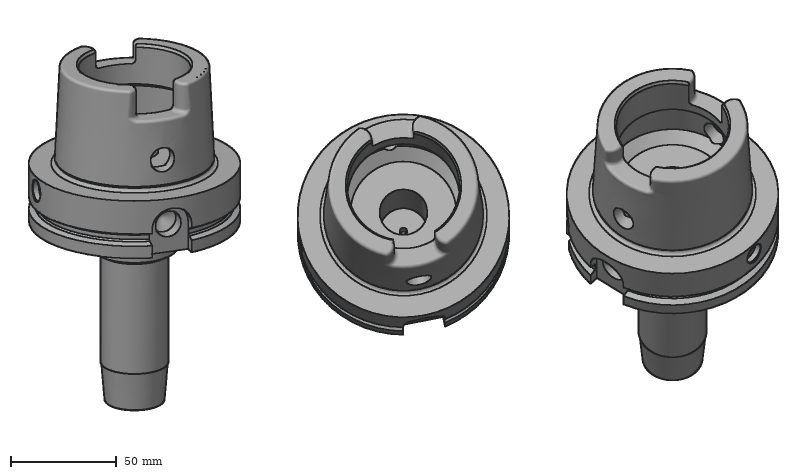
import cadquery as cq
import math

TOP_Z = 50.0
BOTTOM_Z = TOP_Z - 169.9

FLANGE_R = 50.0
FLANGE_BOTTOM_Z = -29.0
GROOVE_R = 46.0
GROOVE_Z = -19.9
GROOVE_MOUTH = 6.1
GROOVE_FLOOR = 2.2
GROOVE_ROOT = 0.8

TAPER_BASE_R = 37.7
TAPER_TOP_R = 35.5
UNDERCUT_R = 37.0
UNDERCUT_TOP_Z = 2.5
UNDERCUT_LOW_Z = 1.5
UNDERCUT_FACE_R = 39.5
RIM_FILLET = 1.5

NECK_R = 20.2
NECK_FILLET = 11.0
NECK_TANGENT_Z = -39.2
NECK_END_Z = -42.6
BODY_R = 16.1
BODY_TOP_Z = -45.0
NOSE_TOP_Z = -100.4
NOSE_STEP = 0.3
NOSE_R = 14.3
NOSE_CHAMFER = 0.5

BORE_R = 26.5
BORE_LIP_CHAMFER_R = 0.8
BORE_LIP_CHAMFER_H = 1.5
BORE_LIP_END_Z = 29.9
CLAMP_R = 31.5
CLAMP_SLOPE = math.radians(30)
BORE_FLOOR_R = 25.0
BORE_FLOOR_Z = 6.0
TUBE_R = 11.2
TUBE_BOTTOM_Z = -25.5
CENTER_HOLE_R = 1.7
CENTER_HOLE_DEPTH = 6.8

SLOT_HALF_WIDTH = 10.0
SLOT_FLARE_X = 32.5
SLOT_FLARE_R = 5.6
SLOT_DEPTH_LEFT = 9.9
SLOT_DEPTH_RIGHT = 15.0
SLOT_FLOOR_FILLET = 2.0
SLOT_RIM_FILLET = 1.5
FLANGE_SLOT_TOP_Z = -5.0
FLANGE_SLOT_X = 44.2
NOTCH_X = 31.8
NOTCH_Y = 41.5

WRENCH_HOLE_R = 6.0
WRENCH_HOLE_Z = 15.0
SLOT_HOLE_R = 6.5
SLOT_HOLE_DEPTH = 6.8
DRILL_HALF_ANGLE = math.radians(59)
CHIP_HOLE_R = 5.0
CHIP_HOLE_Z = -7.1
CHIP_HOLE_DEPTH = 3.4
CHIP_HOLE_CHAMFER = 0.5
CHIP_CENTER_R = 0.7
CHIP_CENTER_DEPTH = 0.7

FLANGE_SLOT_ARC_Z = FLANGE_SLOT_TOP_Z - SLOT_HALF_WIDTH
SLOT_MOUTH_Y = SLOT_HALF_WIDTH + SLOT_FLARE_R


def outer_body():
    """Revolved outside shape, from the nose up to the rounded shank rim."""
    mouth = GROOVE_MOUTH / 2
    floor = GROOVE_FLOOR / 2
    root_r = GROOVE_R + GROOVE_ROOT
    root = floor + GROOVE_ROOT
    arc_center_r = NECK_R + NECK_FILLET
    drop = FLANGE_BOTTOM_Z - NECK_TANGENT_Z
    neck_top_r = arc_center_r - math.sqrt(NECK_FILLET**2 - drop**2)
    half = math.asin(drop / NECK_FILLET) / 2
    arc_mid = (arc_center_r - NECK_FILLET * math.cos(half), NECK_TANGENT_Z + NECK_FILLET * math.sin(half))
    undercut_sag = UNDERCUT_LOW_Z * (1 - math.sqrt(0.5))
    rim_sag = RIM_FILLET * (1 - math.sqrt(0.5))
    profile = (
        cq.Workplane("XZ")
        .moveTo(0, BOTTOM_Z)
        .lineTo(NOSE_R - NOSE_CHAMFER, BOTTOM_Z)
        .lineTo(NOSE_R, BOTTOM_Z + NOSE_CHAMFER)
        .lineTo(BODY_R - NOSE_STEP, NOSE_TOP_Z - NOSE_STEP)
        .lineTo(BODY_R, NOSE_TOP_Z)
        .lineTo(BODY_R, BODY_TOP_Z)
        .lineTo(NECK_R, NECK_END_Z)
        .lineTo(NECK_R, NECK_TANGENT_Z)
        .threePointArc(arc_mid, (neck_top_r, FLANGE_BOTTOM_Z))
        .lineTo(FLANGE_R, FLANGE_BOTTOM_Z)
        .lineTo(FLANGE_R, GROOVE_Z - mouth)
        .lineTo(root_r, GROOVE_Z - root)
        .lineTo(GROOVE_R, GROOVE_Z - floor)
        .lineTo(GROOVE_R, GROOVE_Z + floor)
        .lineTo(root_r, GROOVE_Z + root)
        .lineTo(FLANGE_R, GROOVE_Z + mouth)
        .lineTo(FLANGE_R, 0)
        .lineTo(UNDERCUT_FACE_R, 0)
        .threePointArc(
            (UNDERCUT_R + undercut_sag, undercut_sag),
            (UNDERCUT_R, UNDERCUT_LOW_Z),
        )
        .lineTo(TAPER_BASE_R, UNDERCUT_TOP_Z)
        .lineTo(TAPER_TOP_R, TOP_Z - RIM_FILLET)
        .threePointArc(
            (TAPER_TOP_R - rim_sag, TOP_Z - rim_sag),
            (TAPER_TOP_R - RIM_FILLET, TOP_Z),
        )
        .lineTo(0, TOP_Z)
        .close()
    )
    return profile.revolve(360, (0, 0, 0), (0, 1, 0))


def bore():
    """Stepped hollow with the internal clamping groove, cut from the top."""
    slope_h = (CLAMP_R - BORE_R) * math.tan(CLAMP_SLOPE)
    floor_h = (CLAMP_R - BORE_FLOOR_R) * math.tan(CLAMP_SLOPE)
    center_end_z = TUBE_BOTTOM_Z - CENTER_HOLE_DEPTH
    points = [
        (0, TOP_Z),
        (BORE_R + BORE_LIP_CHAMFER_R, TOP_Z),
        (BORE_R, TOP_Z - BORE_LIP_CHAMFER_H),
        (BORE_R, BORE_LIP_END_Z),
        (CLAMP_R, BORE_LIP_END_Z - slope_h),
        (CLAMP_R, BORE_FLOOR_Z + floor_h),
        (BORE_FLOOR_R, BORE_FLOOR_Z),
        (TUBE_R, BORE_FLOOR_Z),
        (TUBE_R, TUBE_BOTTOM_Z),
        (CENTER_HOLE_R, TUBE_BOTTOM_Z),
        (CENTER_HOLE_R, center_end_z),
        (0, center_end_z),
    ]
    return cq.Workplane("XZ").polyline(points).close().revolve(360, (0, 0, 0), (0, 1, 0))


def rim_slot(depth):
    """Drive slot on the +X side of the rim, flared outwards by a quarter arc on each flank."""
    inner_x = 0
    outer_x = FLANGE_R
    side_y = FLANGE_R
    arc_x = SLOT_FLARE_X - SLOT_FLARE_R
    mid_x = arc_x + SLOT_FLARE_R * math.sqrt(0.5)
    mid_y = SLOT_MOUTH_Y - SLOT_FLARE_R * math.sqrt(0.5)
    slot = (
        cq.Workplane("XY", origin=(0, 0, TOP_Z - depth))
        .moveTo(inner_x, -SLOT_HALF_WIDTH)
        .lineTo(arc_x, -SLOT_HALF_WIDTH)
        .threePointArc((mid_x, -mid_y), (SLOT_FLARE_X, -SLOT_MOUTH_Y))
        .lineTo(SLOT_FLARE_X, -side_y)
        .lineTo(outer_x, -side_y)
        .lineTo(outer_x, side_y)
        .lineTo(SLOT_FLARE_X, side_y)
        .lineTo(SLOT_FLARE_X, SLOT_MOUTH_Y)
        .threePointArc((mid_x, mid_y), (arc_x, SLOT_HALF_WIDTH))
        .lineTo(inner_x, SLOT_HALF_WIDTH)
        .close()
        .extrude(depth)
    )
    flank = cq.selectors.BoxSelector((inner_x + 1.7, -side_y + 1.7, 0), (SLOT_FLARE_X + 1.7, side_y - 1.7, TOP_Z))
    return slot.faces("<Z").edges(flank).fillet(SLOT_FLOOR_FILLET)


def flange_slot(floor_x, center_y):
    """Round-topped slot on the +X side, open outwards and at the bottom of the flange."""
    arch = (
        cq.Workplane("YZ", origin=(floor_x, 0, 0))
        .center(center_y, FLANGE_SLOT_ARC_Z)
        .circle(SLOT_HALF_WIDTH)
        .extrude(FLANGE_R)
    )
    height = FLANGE_SLOT_ARC_Z - FLANGE_BOTTOM_Z
    leg = cq.Workplane("XY", origin=(floor_x, center_y, FLANGE_BOTTOM_Z)).box(
        FLANGE_R, 2 * SLOT_HALF_WIDTH, height, centered=(False, True, False)
    )
    return arch.union(leg)


def slot_hole():
    """Blind drilled hole with a conical end, going inwards from the +X flange slot floor."""
    tip = SLOT_HOLE_R / math.tan(DRILL_HALF_ANGLE)
    end_x = FLANGE_SLOT_X - SLOT_HOLE_DEPTH
    points = [
        (FLANGE_R, 0),
        (FLANGE_R, SLOT_HOLE_R),
        (end_x, SLOT_HOLE_R),
        (end_x - tip, 0),
    ]
    hole = cq.Workplane("XZ").polyline(points).close().revolve(360, (0, 0, 0), (1, 0, 0))
    return hole.translate((0, 0, FLANGE_SLOT_ARC_Z))


def chip_hole():
    """Shallow chamfered data chip hole on the -Y side of the flange."""
    floor_y = CHIP_HOLE_DEPTH - FLANGE_R
    center_y = floor_y + CHIP_CENTER_DEPTH
    rim_r = CHIP_HOLE_R + CHIP_HOLE_CHAMFER
    points = [
        (0, -FLANGE_R),
        (rim_r, -FLANGE_R),
        (CHIP_HOLE_R, CHIP_HOLE_CHAMFER - FLANGE_R),
        (CHIP_HOLE_R, floor_y),
        (CHIP_CENTER_R, floor_y),
        (0, center_y),
    ]
    hole = cq.Workplane("XY").polyline(points).close().revolve(360, (0, 0, 0), (0, 1, 0))
    return hole.translate((0, 0, CHIP_HOLE_Z))


def wrench_hole():
    """Radial hole along X, through both walls of the shank."""
    start = cq.Workplane("YZ", origin=(-FLANGE_R, 0, WRENCH_HOLE_Z))
    return start.circle(WRENCH_HOLE_R).extrude(2 * FLANGE_R)


def turned_to_left(shape):
    """Half turn about Z, taking a feature from the +X side to the -X side."""
    return shape.rotate((0, 0, 0), (0, 0, 1), 180)


body = outer_body()
body = body.cut(rim_slot(SLOT_DEPTH_RIGHT))
body = body.cut(turned_to_left(rim_slot(SLOT_DEPTH_LEFT)))
slot_rims = cq.selectors.BoxSelector(
    (-FLANGE_R, -SLOT_MOUTH_Y, 0), (FLANGE_R, SLOT_MOUTH_Y, TOP_Z + 1.7)
)
body = body.faces(">Z").edges(slot_rims).fillet(SLOT_RIM_FILLET)
body = body.cut(bore())
body = body.cut(wrench_hole())

flange_slot_with_hole = flange_slot(FLANGE_SLOT_X, 0).union(slot_hole())
body = body.cut(flange_slot_with_hole)
body = body.cut(turned_to_left(flange_slot_with_hole))
body = body.cut(turned_to_left(flange_slot(NOTCH_X, -NOTCH_Y)))
body = body.cut(chip_hole())

result = body